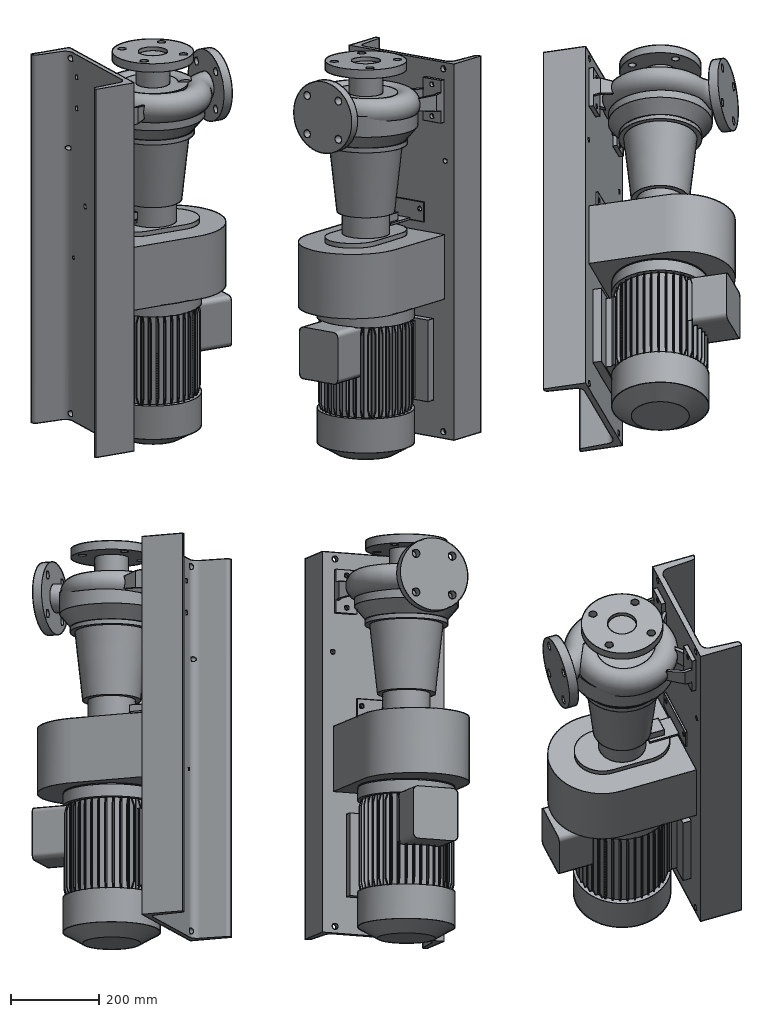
import cadquery as cq
import math


axis_height = 132.5
channel_width = 300.0
channel_depth = 100.0
channel_bottom = 26.0
channel_top = 902.0
web_thickness = 13.0
flange_tip_thickness = 13.0
flange_root_thickness = 19.0
root_radius = 18.0
tip_radius = 8.0
mounting_y = -axis_height
corner_hole_x = 119.0
corner_hole_inset = 15.5
corner_hole_radius = 6.9
edge_hole_x = 124.0
edge_hole_z = 673.0
bolt_radius = 5.5
guard_hole_x = 109.0
guard_hole_z = 415.0
guard_hole_radius = 4.0

set_height = 914.0
suction_radius = 92.0
suction_thickness = 20.0
suction_neck_radius = 38.0
suction_bore_radius = 33.0
suction_bore_depth = 9.0
suction_bolt_circle_radius = 72.0
discharge_radius = 83.0
discharge_thickness = 22.0
discharge_face_y = 160.0
discharge_bolt_circle_radius = 63.0
flange_bolt_radius = 9.0
volute_z = 812.0
scroll_radius = 33.0
scroll_turn_radius = 97.0
scroll_centre_x = 8.0
scroll_end_angle = 68.0
outlet_bend_radius = 72.0
tongue_turn_radius = 79.5
tongue_end_angle = 60.0
casing_radius = 118.0
casing_bottom = 763.0
casing_shoulder = volute_z
casing_top = 839.0
casing_top_radius = 79.5
cone_bottom = 732.0
cone_bottom_radius = 91.0
collar_bottom = 721.0
collar_radius = 94.0
housing_top_radius = 83.0
housing_bottom = 563.0
housing_bottom_radius = 66.0
neck_radius = 54.0
neck_bottom = 512.0

foot_inner_x = 69.5
foot_outer_x = 121.0
foot_thickness = 10.0
foot_height = 100.0
foot_hole_x = 94.0
foot_hole_spacing = 74.0
leg_thickness = 6.0
leg_knee_y = -106.0
leg_end = (-87.0, -50.0)
rib_end = (-37.0, -103.0)
leg_root_height = 46.0
leg_tip_height = 24.0
lug_half_width = 19.0
lug_height = 17.0
lug_outer_y = -95.0

upright_half_width = 66.0
shelf_half_width = 27.0
bracket_thickness = 5.0
bracket_bottom = 523.0
bracket_top = 568.5
bracket_end_y = -57.0
bracket_hole_x = 55.0
bracket_hole_z = 552.0

guard_radius = 123.0
guard_arch_y = 48.0
guard_bottom = 351.0
guard_top = 501.0
cover_length = 223.0
cover_width = 128.0

motor_radius = 111.0
motor_step_radius = 110.0
motor_step_bottom = 345.5
motor_top = 348.0
ring_bottom = 317.0
fan_cover_top = 105.0
fan_cover_bottom = 26.0
fan_cone_top_radius = 110.0
fan_cone_bottom_radius = 66.0
core_radius = 99.0
fin_radius = 108.0
fin_end_radius = 103.0
fin_taper_length = 18.0
fin_thickness = 2.0
fin_pitch = 9.0
fins_per_side = 10
box_half_width = 55.0
box_centre_x = 2.0
box_bottom = 198.0
box_top = 319.0
box_top_y = 173.0
box_corner_radius = 12.0
base_half_width = 91.0
base_top_y = -112.0
base_bottom = 111.0
base_top = 301.0
pedestal_bottom = 116.0
pedestal_top = 294.0
pedestal_half_width = 54.0
pedestal_shoulder_half_width = 59.0
pedestal_shoulder_y = -92.0
pedestal_side_top_y = -99.0


def block(x_from, x_to, y_from, y_to, z_from, z_to):
    """Box between the given limits."""
    size = (x_to - x_from, y_to - y_from, z_to - z_from)
    return cq.Workplane("XY").box(*size, centered=False).translate((x_from, y_from, z_from))


def rod(radius, z_from, z_to):
    """Cylinder on the Z axis."""
    return cq.Workplane("XY").workplane(offset=z_from).circle(radius).extrude(z_to - z_from)


def revolved(outline):
    """Solid of revolution about Z from (radius, z) points."""
    return cq.Workplane("XZ").polyline(outline).close().revolve(360, (0, 0, 0), (0, 1, 0))


def drills_along_y(points, radius, y_from, y_to):
    """Drills parallel to Y at the given (x, z) points."""
    plane = cq.Workplane("XZ", origin=(0, y_from, 0))
    return plane.pushPoints(points).circle(radius).extrude(y_from - y_to)


def mirrored_pairs(x, heights):
    """Points at +x and -x for every height."""
    return [(side * x, z) for side in (-1, 1) for z in heights]


def bolt_square(bolt_circle_radius):
    """Four points on a bolt circle, midway between the axes."""
    offset = bolt_circle_radius * math.sqrt(0.5)
    return mirrored_pairs(offset, (-offset, offset))


foot_hole_points = mirrored_pairs(
    foot_hole_x, (volute_z - foot_hole_spacing / 2, volute_z + foot_hole_spacing / 2)
)
bracket_hole_points = mirrored_pairs(bracket_hole_x, (bracket_hole_z,))


def make_channel():
    half_width = channel_width / 2
    web_y = mounting_y - web_thickness
    tip_y = mounting_y - channel_depth
    inner_root_x = half_width - flange_root_thickness
    inner_tip_x = half_width - flange_tip_thickness
    length = channel_top - channel_bottom

    start = cq.Workplane("XY").workplane(offset=channel_bottom)
    hollow = (
        start.polyline(
            [(-inner_tip_x, tip_y), (inner_tip_x, tip_y), (inner_root_x, web_y), (-inner_root_x, web_y)]
        )
        .close()
        .extrude(length)
        .faces(">Y")
        .edges("|Z")
        .fillet(root_radius)
    )
    body = block(-half_width, half_width, tip_y, mounting_y, channel_bottom, channel_top).cut(hollow)
    for side in (-1, 1):
        tip_point = (side * inner_tip_x, tip_y, channel_bottom + length / 2)
        tip_edge = cq.selectors.NearestToPointSelector(tip_point)
        body = body.edges(tip_edge).fillet(tip_radius)

    corner_heights = (channel_bottom + corner_hole_inset, channel_top - corner_hole_inset)
    hole_groups = [
        (mirrored_pairs(corner_hole_x, corner_heights), corner_hole_radius),
        (mirrored_pairs(edge_hole_x, (edge_hole_z,)), bolt_radius),
        (mirrored_pairs(guard_hole_x, (guard_hole_z,)), guard_hole_radius),
        (foot_hole_points, bolt_radius),
        (bracket_hole_points, bolt_radius),
    ]
    for points, radius in hole_groups:
        body = body.cut(drills_along_y(points, radius, tip_y, mounting_y))
    return body


def on_arc(centre_x, centre_y, radius, degrees):
    """Point on a circle at the given angle from +X."""
    angle = math.radians(degrees)
    return (centre_x + radius * math.cos(angle), centre_y + radius * math.sin(angle))


def make_scroll():
    """Round tube that leaves the casing, circles it and bends up into the discharge flange."""
    def on_turn(degrees):
        return on_arc(scroll_centre_x, 0, scroll_turn_radius, degrees)

    def on_tongue(degrees):
        return on_arc(start[0] + tongue_turn_radius, 0, tongue_turn_radius, degrees)

    start = on_turn(180)
    turn_end = on_turn(scroll_end_angle)
    bend_centre = on_arc(*turn_end, outlet_bend_radius, scroll_end_angle)
    bend_middle = on_arc(*bend_centre, outlet_bend_radius, 180 + scroll_end_angle / 2)
    bend_end = on_arc(*bend_centre, outlet_bend_radius, 180)

    def path_start():
        return cq.Workplane("XY", origin=(0, 0, volute_z)).moveTo(*start)

    def tube(path):
        return cq.Workplane("XZ").center(start[0], volute_z).circle(scroll_radius).sweep(path)

    turn_path = (
        path_start()
        .threePointArc(on_turn((180 + 360 + scroll_end_angle) / 2), turn_end)
        .threePointArc(bend_middle, bend_end)
    )
    tongue_path = path_start().threePointArc(
        on_tongue((180 + tongue_end_angle) / 2), on_tongue(tongue_end_angle)
    )
    return tube(turn_path).union(tube(tongue_path))


def make_pump_foot():
    """Foot plate on the -X side, with a cranked leg and a short rib up to the volute."""
    plate = block(
        -foot_outer_x,
        -foot_inner_x,
        mounting_y,
        mounting_y + foot_thickness,
        volute_z - foot_height / 2,
        volute_z + foot_height / 2,
    )
    leg_base = cq.Workplane("XY").workplane(offset=volute_z)
    leg = (
        leg_base.polyline(
            [
                (-foot_outer_x, mounting_y),
                (-foot_outer_x, leg_knee_y),
                leg_end,
                (leg_end[0] + leg_thickness, leg_end[1]),
                (-foot_outer_x + leg_thickness, leg_knee_y),
                (-foot_outer_x + leg_thickness, mounting_y),
            ]
        )
        .close()
        .extrude(leg_root_height / 2, both=True)
    )
    rib = (
        leg_base.polyline(
            [
                (-foot_inner_x, mounting_y),
                (-foot_inner_x, mounting_y + leg_thickness),
                rib_end,
                (rib_end[0] + leg_thickness, rib_end[1] - leg_thickness / 2),
                (-foot_inner_x + leg_thickness, mounting_y),
            ]
        )
        .close()
        .extrude(leg_root_height / 2, both=True)
    )
    taper = (
        cq.Workplane("YZ")
        .polyline(
            [
                (mounting_y, volute_z - leg_root_height / 2),
                (leg_end[1], volute_z - leg_tip_height / 2),
                (leg_end[1], volute_z + leg_tip_height / 2),
                (mounting_y, volute_z + leg_root_height / 2),
            ]
        )
        .close()
        .extrude(channel_width / 2, both=True)
    )
    return plate.union(leg.union(rib).intersect(taper))


def make_pump():
    suction_back = set_height - suction_thickness
    body = revolved(
        [
            (0, neck_bottom),
            (neck_radius, neck_bottom),
            (neck_radius, housing_bottom),
            (housing_bottom_radius, housing_bottom),
            (housing_top_radius, collar_bottom),
            (collar_radius, collar_bottom),
            (collar_radius, cone_bottom),
            (cone_bottom_radius, cone_bottom),
            (casing_radius, casing_bottom),
            (casing_radius, casing_shoulder),
            (casing_top_radius, casing_shoulder),
            (casing_top_radius, casing_top),
            (0, casing_top),
        ]
    )
    body = body.union(make_scroll())

    discharge_flange = (
        cq.Workplane("XZ", origin=(0, discharge_face_y, volute_z))
        .circle(discharge_radius)
        .pushPoints(bolt_square(discharge_bolt_circle_radius))
        .circle(flange_bolt_radius)
        .extrude(discharge_thickness)
    )
    suction_flange = (
        cq.Workplane("XY", origin=(0, 0, suction_back))
        .circle(suction_radius)
        .pushPoints(bolt_square(suction_bolt_circle_radius))
        .circle(flange_bolt_radius)
        .extrude(suction_thickness)
    )
    body = body.union(discharge_flange).union(suction_flange)
    body = body.union(rod(suction_neck_radius, casing_top, suction_back))
    body = body.cut(rod(suction_bore_radius, set_height - suction_bore_depth, set_height))

    foot = make_pump_foot()
    body = body.union(foot).union(foot.mirror("YZ"))
    body = body.cut(drills_along_y(foot_hole_points, bolt_radius, mounting_y, mounting_y + foot_thickness))

    lug_bottom = bracket_bottom + bracket_thickness
    lug = block(-lug_half_width, lug_half_width, lug_outer_y, 0, lug_bottom, lug_bottom + lug_height)
    return body.union(lug)


def make_bracket():
    """Angle on the channel that carries the lug of the pump."""
    inner_y = mounting_y + bracket_thickness
    shelf_top = bracket_bottom + bracket_thickness
    upright = block(
        -upright_half_width, upright_half_width, mounting_y, inner_y, bracket_bottom, bracket_top
    )
    shelf = block(
        -shelf_half_width, shelf_half_width, mounting_y, bracket_end_y, bracket_bottom, shelf_top
    )
    return upright.union(shelf).cut(drills_along_y(bracket_hole_points, bolt_radius, mounting_y, inner_y))


def make_guard():
    """Block with a half-round top."""
    return (
        cq.Workplane("XY", origin=(0, 0, guard_bottom))
        .moveTo(-guard_radius, mounting_y)
        .lineTo(guard_radius, mounting_y)
        .lineTo(guard_radius, guard_arch_y)
        .threePointArc((0, guard_arch_y + guard_radius), (-guard_radius, guard_arch_y))
        .close()
        .extrude(guard_top - guard_bottom)
    )


def make_cover_plate():
    """Round-ended plate between the guard and the neck of the pump."""
    plane = cq.Workplane("XY", origin=(0, 0, guard_top))
    return plane.slot2D(cover_length, cover_width, 90).extrude(neck_bottom - guard_top)


def make_fins():
    """Thin straight fins, parallel to X at the sides and to Y at the top and bottom of the motor."""
    fins = cq.Workplane("XY")
    for index in range(fins_per_side):
        angle = math.radians((index - (fins_per_side - 1) / 2) * fin_pitch)
        offset = fin_radius * math.sin(angle)
        low = offset - fin_thickness / 2
        high = offset + fin_thickness / 2
        fins = fins.add(block(-fin_radius, fin_radius, low, high, fan_cover_top, ring_bottom))
        fins = fins.add(block(low, high, -fin_radius, fin_radius, fan_cover_top, ring_bottom))
    envelope = revolved(
        [
            (0, fan_cover_top),
            (fin_end_radius, fan_cover_top),
            (fin_radius, fan_cover_top + fin_taper_length),
            (fin_radius, ring_bottom - fin_taper_length),
            (fin_end_radius, ring_bottom),
            (0, ring_bottom),
        ]
    )
    return fins.combine().intersect(envelope)


def make_motor():
    body = revolved(
        [
            (0, 0),
            (fan_cone_bottom_radius, 0),
            (fan_cone_top_radius, fan_cover_bottom),
            (motor_radius, fan_cover_bottom),
            (motor_radius, fan_cover_top),
            (core_radius, fan_cover_top),
            (core_radius, ring_bottom),
            (motor_radius, ring_bottom),
            (motor_radius, motor_step_bottom),
            (motor_step_radius, motor_step_bottom),
            (motor_step_radius, motor_top),
            (0, motor_top),
        ]
    )
    body = body.union(make_fins())

    box_left = box_centre_x - box_half_width
    box_right = box_centre_x + box_half_width
    terminal_box = block(box_left, box_right, 0, box_top_y, box_bottom, box_top)
    body = body.union(terminal_box.edges("|Y").fillet(box_corner_radius))

    base = block(-base_half_width, base_half_width, mounting_y, base_top_y, base_bottom, base_top)
    pedestal = (
        cq.Workplane("XY", origin=(0, 0, pedestal_bottom))
        .polyline(
            [
                (-pedestal_half_width, base_top_y),
                (pedestal_half_width, base_top_y),
                (pedestal_half_width, pedestal_side_top_y),
                (pedestal_shoulder_half_width, pedestal_shoulder_y),
                (0, 0),
                (-pedestal_shoulder_half_width, pedestal_shoulder_y),
                (-pedestal_half_width, pedestal_side_top_y),
            ]
        )
        .close()
        .extrude(pedestal_top - pedestal_bottom)
    )
    return body.union(base).union(pedestal)


channel = make_channel()
pump = make_pump()
bracket = make_bracket()
guard = make_guard()
cover_plate = make_cover_plate()
motor = make_motor()

bodies = [channel, pump, bracket, guard, cover_plate, motor]
result = cq.Compound.makeCompound([body.solids().val() for body in bodies])